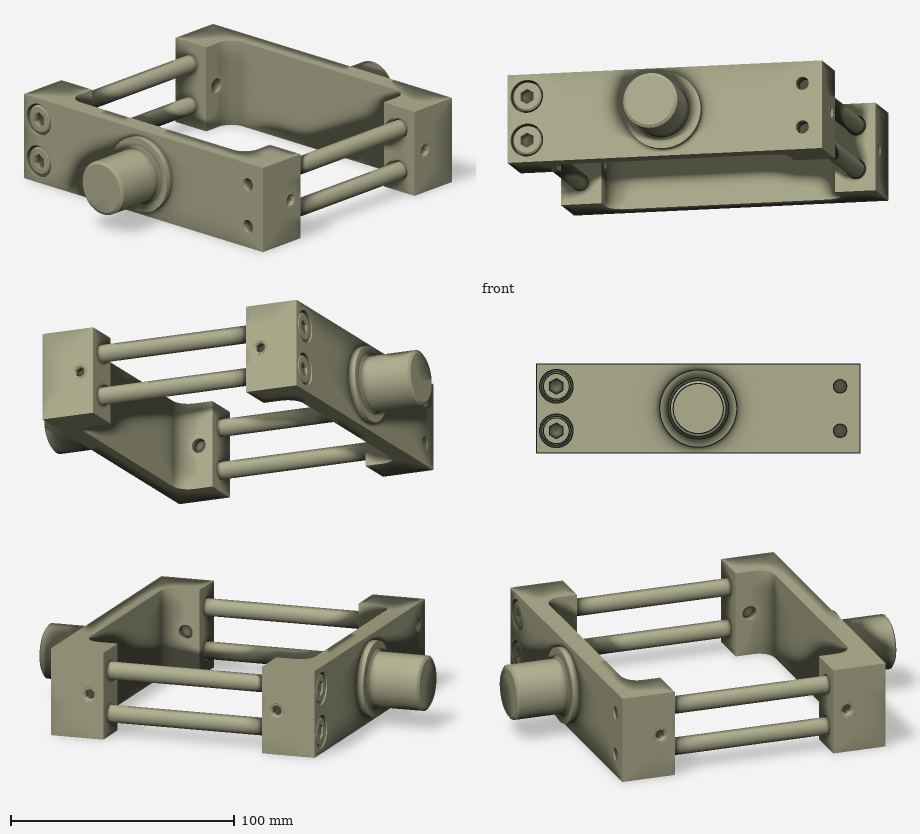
import cadquery as cq
import math

FRAME_LENGTH = 145.0
FRAME_DEPTH = 125.6
FRAME_HEIGHT = 40.0
YOKE_DEPTH = 25.0
LEG_WIDTH = 18.6
WEB_THICKNESS = 9.0
INNER_CORNER_RADIUS = 7.5

TRUNNION_SPAN = 181.0
TRUNNION_DIAMETER = 25.0
TRUNNION_TIP_CHAMFER_LENGTH = 0.9
TRUNNION_TIP_DIAMETER = 22.5
FLANGE_DIAMETER = 34.5
FLANGE_THICKNESS = 3.0
ROOT_CONE_DIAMETER = 27.3
ROOT_CONE_LENGTH = 0.9

SCREW_SPAN = 127.0
SCREW_SPACING = 20.0
SCREW_DIAMETER = 8.0
SCREW_LENGTH = 110.0
SCREW_HEAD_DIAMETER = 13.0
SCREW_HEAD_HEIGHT = 8.0
SCREW_HEAD_CHAMFER = 0.7
SCREW_SOCKET_FLATS = 6.0
SCREW_SOCKET_DEPTH = 4.0
SOCKET_POINT_ANGLE = 120
CLEARANCE_DIAMETER = 9.2
COUNTERBORE_DIAMETER = 15.0
COUNTERBORE_DEPTH = 8.3
TAPPED_HOLE_DIAMETER = 6.0

SET_SCREW_FACE_DISTANCE = 6.7
SET_SCREW_DIAMETER = 6.7
SET_SCREW_LENGTH = 15.0
SET_SCREW_RECESS = 0.0
SET_SCREW_SOCKET_FLATS = 4.0
SET_SCREW_SOCKET_DEPTH = 4.0
SET_SCREW_SOCKET_MOUTH_DIAMETER = 5.6
SET_SCREW_TIP_CHAMFER = 0.5
SET_HOLE_MOUTH_DIAMETER = 7.0

HALF_LENGTH = FRAME_LENGTH / 2
OUTER_FACE_Y = FRAME_DEPTH / 2
LEG_END_Y = OUTER_FACE_Y - YOKE_DEPTH
SCREW_X = SCREW_SPAN / 2
SCREW_LEVELS = (-SCREW_SPACING / 2, SCREW_SPACING / 2)
SEAT_Y = OUTER_FACE_Y - COUNTERBORE_DEPTH
SCREW_TIP_Y = SEAT_Y - SCREW_LENGTH
SET_SCREW_Y = LEG_END_Y + SET_SCREW_FACE_DISTANCE


def half_turn(shape):
    """Turn a shape half a revolution about the vertical axis of the frame."""
    return shape.rotate((0, 0, 0), (0, 0, 1), 180)


def rod_y(x, z, y_start, y_end, diameter):
    """A cylinder along Y between two Y positions."""
    base = cq.Plane(origin=(x, y_start, z), xDir=(1, 0, 0), normal=(0, 1, 0))
    return cq.Workplane(base).circle(diameter / 2).extrude(y_end - y_start)


def hex_prism(plane, flats, depth):
    """A hexagonal prism with two corners on the local Y axis of the plane."""
    corners = flats / math.cos(math.pi / 6)
    return cq.Workplane(plane).transformed(rotate=(0, 0, 90)).polygon(6, corners).extrude(depth)


def yoke_blank():
    """The C-shaped block of the yoke on the +Y side."""
    block = cq.Workplane("XY").box(FRAME_LENGTH, YOKE_DEPTH, FRAME_HEIGHT)
    block = block.translate((0, LEG_END_Y + YOKE_DEPTH / 2, 0))
    opening_length = FRAME_LENGTH - 2 * LEG_WIDTH
    opening_depth = YOKE_DEPTH - WEB_THICKNESS
    opening = (
        cq.Workplane("XY")
        .box(opening_length, opening_depth, FRAME_HEIGHT)
        .edges("|Z and >Y")
        .fillet(INNER_CORNER_RADIUS)
        .translate((0, LEG_END_Y + opening_depth / 2, 0))
    )
    return block.cut(opening)


def trunnion():
    """Flange, root cone and chamfered journal, revolved about Y."""
    flange_y = OUTER_FACE_Y + FLANGE_THICKNESS
    tip_y = TRUNNION_SPAN / 2
    return (
        cq.Workplane("XY")
        .moveTo(0, OUTER_FACE_Y)
        .lineTo(FLANGE_DIAMETER / 2, OUTER_FACE_Y)
        .lineTo(FLANGE_DIAMETER / 2, flange_y)
        .lineTo(ROOT_CONE_DIAMETER / 2, flange_y)
        .lineTo(TRUNNION_DIAMETER / 2, flange_y + ROOT_CONE_LENGTH)
        .lineTo(TRUNNION_DIAMETER / 2, tip_y - TRUNNION_TIP_CHAMFER_LENGTH)
        .lineTo(TRUNNION_TIP_DIAMETER / 2, tip_y)
        .lineTo(0, tip_y)
        .close()
        .revolve(360, (0, 0, 0), (0, 1, 0))
    )


def head_side_hole(z):
    """Counterbored clearance hole under a screw head, in the +X leg."""
    counterbore = rod_y(SCREW_X, z, SEAT_Y, OUTER_FACE_Y, COUNTERBORE_DIAMETER)
    return rod_y(SCREW_X, z, LEG_END_Y, SEAT_Y, CLEARANCE_DIAMETER).union(counterbore)


def thread_side_hole(z):
    """Hole in the -X leg: filled by the screw up to its tip, narrower beyond."""
    filled = rod_y(-SCREW_X, z, LEG_END_Y, -SCREW_TIP_Y, SCREW_DIAMETER)
    return filled.union(rod_y(-SCREW_X, z, -SCREW_TIP_Y, OUTER_FACE_Y, TAPPED_HOLE_DIAMETER))


def countersink(plane, mouth_diameter):
    """A 90 degree cone going into a face, widest at the face."""
    radius = mouth_diameter / 2
    return cq.Workplane(cq.Solid.makeCone(radius, 0, radius, pnt=plane.origin, dir=plane.zDir))


def set_screw_plane(recess):
    """A plane on the set screw axis of the -X leg, facing inward, below the outer end."""
    origin = (-HALF_LENGTH + recess, SET_SCREW_Y, 0)
    return cq.Plane(origin=origin, xDir=(0, 1, 0), normal=(1, 0, 0))


def set_screw_hole():
    """Through hole in the -X leg with a countersunk mouth on the outer end."""
    mouth = set_screw_plane(0)
    bore = cq.Workplane(mouth).circle(SET_SCREW_DIAMETER / 2).extrude(LEG_WIDTH + INNER_CORNER_RADIUS)
    return bore.union(countersink(mouth, SET_HOLE_MOUTH_DIAMETER))


def make_yoke():
    """The complete yoke on the +Y side."""
    yoke = yoke_blank().union(trunnion())
    for z in SCREW_LEVELS:
        yoke = yoke.cut(head_side_hole(z)).cut(thread_side_hole(z))
    hole = set_screw_hole()
    return yoke.cut(hole).cut(hole.mirror("YZ"))


def pointed_socket(plane):
    """A hexagonal socket whose floor is a shallow drill cone."""
    cone_radius = SCREW_SOCKET_FLATS / math.sqrt(3)
    cone_height = cone_radius / math.tan(math.radians(SOCKET_POINT_ANGLE / 2))
    drill = cq.Workplane(plane).circle(cone_radius).extrude(SCREW_SOCKET_DEPTH)
    cone_base = plane.origin + plane.zDir * SCREW_SOCKET_DEPTH
    cone = cq.Solid.makeCone(cone_radius, 0, cone_height, pnt=cone_base, dir=plane.zDir)
    prism = hex_prism(plane, SCREW_SOCKET_FLATS, SCREW_SOCKET_DEPTH + cone_height)
    return prism.intersect(drill.union(cq.Workplane(cone)))


def make_tie_screw(z):
    """Socket head screw on the +X side, its head in the +Y yoke."""
    head_top = SEAT_Y + SCREW_HEAD_HEIGHT
    shank = rod_y(SCREW_X, z, SCREW_TIP_Y, SEAT_Y, SCREW_DIAMETER)
    head = rod_y(SCREW_X, z, SEAT_Y, head_top, SCREW_HEAD_DIAMETER)
    head = head.faces(">Y").chamfer(SCREW_HEAD_CHAMFER)
    top = cq.Plane(origin=(SCREW_X, head_top, z), xDir=(1, 0, 0), normal=(0, -1, 0))
    return shank.union(head).cut(pointed_socket(top))


def make_set_screw():
    """Set screw in the -X leg of the +Y yoke, its socket facing outward."""
    top = set_screw_plane(SET_SCREW_RECESS)
    body = cq.Workplane(top).circle(SET_SCREW_DIAMETER / 2).extrude(SET_SCREW_LENGTH)
    body = body.faces(">X").chamfer(SET_SCREW_TIP_CHAMFER)
    socket = hex_prism(top, SET_SCREW_SOCKET_FLATS, SET_SCREW_SOCKET_DEPTH)
    return body.cut(socket).cut(countersink(top, SET_SCREW_SOCKET_MOUTH_DIAMETER))


yoke = make_yoke()
yokes = [yoke, half_turn(yoke)]

tie_screws = []
for level in SCREW_LEVELS:
    screw = make_tie_screw(level)
    tie_screws += [screw, half_turn(screw)]

set_screw = make_set_screw()
set_screw_pair = [set_screw, set_screw.mirror("YZ")]
set_screws = set_screw_pair + [half_turn(screw) for screw in set_screw_pair]

bodies = yokes + tie_screws + set_screws
result = cq.Compound.makeCompound([body.val() for body in bodies])